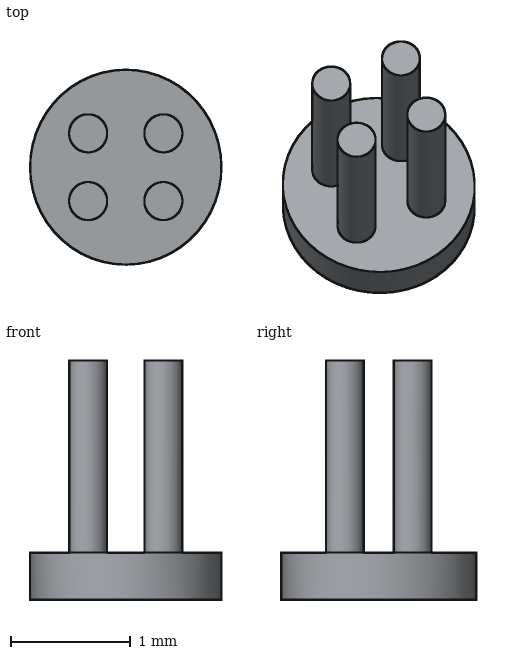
import cadquery as cq

total_height = 2.0
base_size_x = 1.6
base_size_y = 1.63
base_height = 0.395

pin_diameter = 0.318
pin_spacing_x = 0.628
pin_spacing_y = 0.565
pin_height = total_height - base_height

base = cq.Workplane("XY").ellipse(base_size_x / 2, base_size_y / 2).extrude(base_height)

pins = (
    cq.Workplane("XY")
    .workplane(offset=base_height)
    .rarray(pin_spacing_x, pin_spacing_y, 2, 2)
    .circle(pin_diameter / 2)
    .extrude(pin_height)
)

result = base.union(pins)